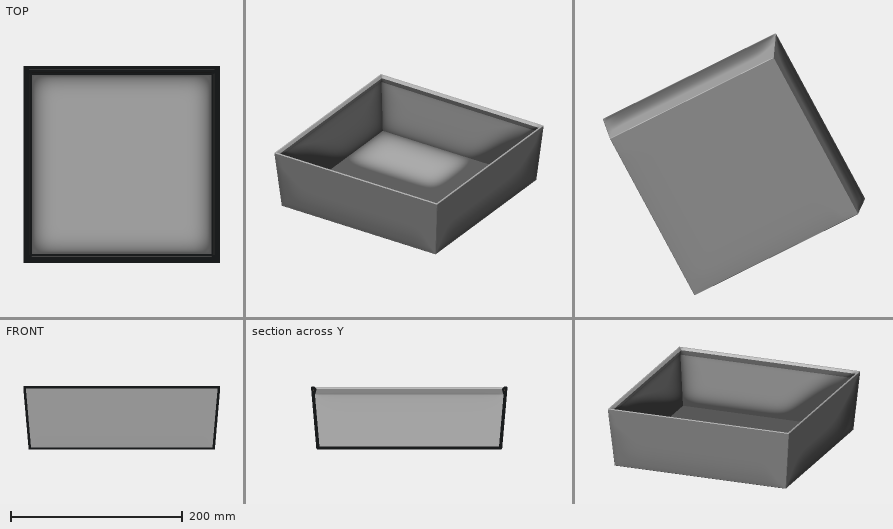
import cadquery as cq
import math

top_side = 228.0
height = 72.0
draft_angle = 5.0
wall_thickness = 2.0
floor_thickness = 2.0
lead_in_size = 2.5
undercut_height = 6.35
edge_chamfer = 0.5

draft_slope = math.tan(math.radians(draft_angle))


def outer_side(z):
    """Side length of the square outer surface at height z."""
    return top_side - 2 * (height - z) * draft_slope


def inner_side(z):
    """Side length of the square inner wall surface at height z."""
    return outer_side(z) - 2 * wall_thickness


def tapered_block(z_low, side_low, z_high, side_high):
    """Square frustum centred on the Z axis."""
    return (
        cq.Workplane("XY")
        .workplane(offset=z_low)
        .rect(side_low, side_low)
        .workplane(offset=z_high - z_low)
        .rect(side_high, side_high)
        .loft(ruled=True)
    )


def tray_body():
    """Drafted outer block with all of its edges chamfered."""
    block = tapered_block(0, outer_side(0), height, top_side)
    return block.edges().chamfer(edge_chamfer)


def cavity():
    """Drafted hollow, necked in near the rim to leave a triangular bead."""
    z_tip = height - lead_in_size
    z_root = z_tip - undercut_height
    tip_side = inner_side(height) - 2 * lead_in_size
    lower = tapered_block(floor_thickness, inner_side(floor_thickness), z_root, inner_side(z_root))
    undercut = tapered_block(z_root, inner_side(z_root), z_tip, tip_side)
    lead_in = tapered_block(z_tip, tip_side, height, inner_side(height))
    return lower.union(undercut).union(lead_in)


result = tray_body().cut(cavity())